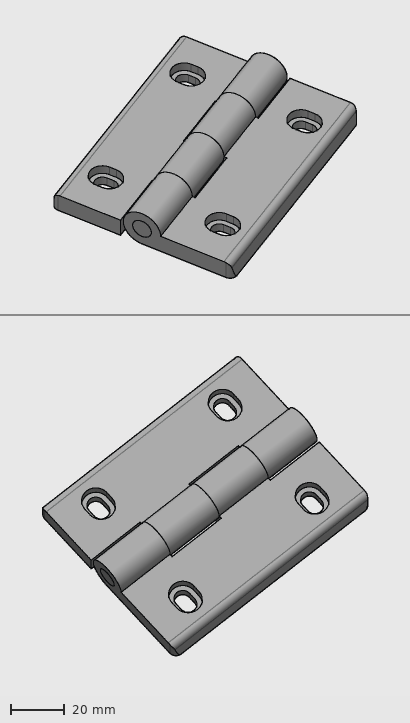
import cadquery as cq
import math

hinge_width = 78.0
hinge_length = 96.0
leaf_thickness = 8.0
barrel_radius = leaf_thickness
pin_diameter = 8.0

knuckle_count = 4
knuckle_length = hinge_length / knuckle_count
barrel_clearance = 1.2
leaf_inner_edge = barrel_radius + barrel_clearance

edge_draft_angle = 10.0
edge_round_radius = 3.0
corner_radius = 3.0

slot_offset_x = 25.0
slot_spacing_y = 62.0
slot_elongation = 3.0
slot_width = 6.6
recess_width = 10.6
recess_depth = 4.0

LEFT = -1
RIGHT = 1


def pin_cylinder():
    """Full-length cylinder that is both the pin and the bore cut for it."""
    return (
        cq.Workplane("XZ", origin=(0, -hinge_length / 2, barrel_radius))
        .circle(pin_diameter / 2)
        .extrude(-hinge_length)
    )


def leaf_plate(side):
    """Flat plate with a drafted outer edge, rounded along its top and at its vertical corners."""
    outer_x = hinge_width / 2
    outer_top_x = outer_x - leaf_thickness * math.tan(math.radians(edge_draft_angle))
    drafted = (
        cq.Workplane("XZ", origin=(0, -hinge_length / 2, 0))
        .moveTo(side * leaf_inner_edge, 0)
        .lineTo(side * outer_x, 0)
        .lineTo(side * outer_top_x, leaf_thickness)
        .lineTo(side * leaf_inner_edge, leaf_thickness)
        .close()
        .extrude(-hinge_length)
    )
    top_outer_edge = cq.selectors.NearestToPointSelector((side * outer_top_x, 0, leaf_thickness))
    drafted = drafted.edges(top_outer_edge).fillet(edge_round_radius)

    outer_corners = "<X and |Z" if side == LEFT else ">X and |Z"
    outline = (
        cq.Workplane("XY")
        .rect(hinge_width, hinge_length)
        .extrude(leaf_thickness)
        .edges(outer_corners)
        .fillet(corner_radius)
    )
    return drafted.intersect(outline)


def mounting_slots(side):
    """Through slots with wider recesses opening at the top face."""
    slot_y = slot_spacing_y / 2
    centres = [(side * slot_offset_x, -slot_y), (side * slot_offset_x, slot_y)]
    through = (
        cq.Workplane("XY")
        .pushPoints(centres)
        .slot2D(slot_width + slot_elongation, slot_width)
        .extrude(leaf_thickness)
    )
    recess = (
        cq.Workplane("XY", origin=(0, 0, leaf_thickness))
        .pushPoints(centres)
        .slot2D(recess_width + slot_elongation, recess_width)
        .extrude(-recess_depth)
    )
    return through.union(recess)


def knuckle(side, start_y):
    """Barrel section that runs out tangentially into the underside of its leaf."""
    diagonal = barrel_radius * math.sqrt(0.5)
    return (
        cq.Workplane("XZ", origin=(0, start_y, 0))
        .moveTo(side * leaf_inner_edge, 0)
        .lineTo(0, 0)
        .threePointArc(
            (-side * diagonal, barrel_radius + diagonal),
            (side * barrel_radius, barrel_radius),
        )
        .lineTo(side * leaf_inner_edge, barrel_radius)
        .close()
        .extrude(-knuckle_length)
    )


def make_leaf(side, first_knuckle):
    """One hinge leaf carrying every second knuckle, counted from the -Y end."""
    leaf = leaf_plate(side)
    for index in range(first_knuckle, knuckle_count, 2):
        leaf = leaf.union(knuckle(side, -hinge_length / 2 + index * knuckle_length))
    return leaf.cut(mounting_slots(side)).cut(pin_cylinder())


right_leaf = make_leaf(RIGHT, first_knuckle=0)
left_leaf = make_leaf(LEFT, first_knuckle=1)
hinge_pin = pin_cylinder()

result = cq.Compound.makeCompound([left_leaf.val(), right_leaf.val(), hinge_pin.val()])